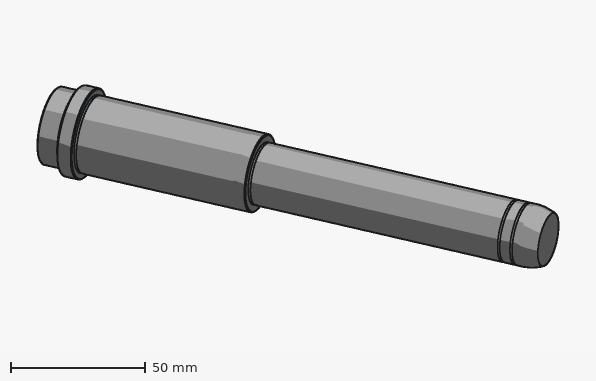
import cadquery as cq

total_length = 200.0
flange_start = 9.0
flange_end = 15.0
seat_end = 79.0
body_end = 84.0
nose_start = 193.0
ring_groove_starts = (184.5, 189.5)

body_radius = 30.0 / 2
flange_radius = 35.0 / 2
shaft_radius = 24.0 / 2
tip_radius = 10.2

edge_chamfer = 0.4

groove_width = 0.9
groove_depth = 0.12

nose_length = total_length - nose_start
nose_drop = shaft_radius - tip_radius
nose_arc_radius = (nose_length**2 + nose_drop**2) / (2 * nose_drop)


def add_groove(profile, start, radius):
    """Run the profile to the groove start, then along its concave floor."""
    end = start + groove_width
    floor_point = ((start + end) / 2, radius - groove_depth)
    return profile.lineTo(start, radius).threePointArc(floor_point, (end, radius))


def add_spigot(profile):
    """Chamfered spigot with a relief groove in front of the flange."""
    profile = profile.lineTo(0, body_radius - edge_chamfer).lineTo(edge_chamfer, body_radius)
    return add_groove(profile, flange_start - groove_width, body_radius)


def add_flange(profile):
    """Locating flange with both rim edges chamfered."""
    chamfer_radius = flange_radius - edge_chamfer
    return (
        profile.lineTo(flange_start, chamfer_radius)
        .lineTo(flange_start + edge_chamfer, flange_radius)
        .lineTo(flange_end - edge_chamfer, flange_radius)
        .lineTo(flange_end, chamfer_radius)
    )


def add_body(profile):
    """Relief groove behind the flange, two equal-diameter stretches and a chamfered end."""
    profile = add_groove(profile, flange_end, body_radius)
    return (
        profile.lineTo(seat_end, body_radius)
        .lineTo(body_end - edge_chamfer, body_radius)
        .lineTo(body_end, body_radius - edge_chamfer)
    )


def add_shaft(profile):
    """Slim shaft with a relief groove at the body and ring grooves near the nose."""
    for start in (body_end, *ring_groove_starts):
        profile = add_groove(profile, start, shaft_radius)
    return profile.lineTo(nose_start, shaft_radius)


def add_nose(profile):
    """Rounded nose that narrows the shaft to the flat tip."""
    profile = profile.radiusArc((total_length, tip_radius), nose_arc_radius)
    return profile.lineTo(total_length, 0)


half_profile = cq.Workplane("XY").moveTo(0, 0)
for add_section in (add_spigot, add_flange, add_body, add_shaft, add_nose):
    half_profile = add_section(half_profile)

result = half_profile.close().revolve(360, (0, 0, 0), (1, 0, 0), clean=False)